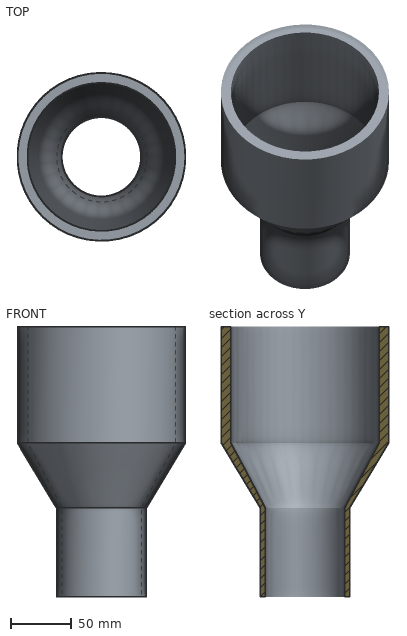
import cadquery as cq

total_height = 225.0
large_diameter = 140.0
large_wall = 8.3
large_length = 96.8
small_diameter = 75.0
small_wall = 4.5
small_length = 74.2

large_radius = large_diameter / 2
small_radius = small_diameter / 2
large_bore_radius = large_radius - large_wall
small_bore_radius = small_radius - small_wall
cone_bottom = small_length
cone_top = total_height - large_length

wall_section = (
    cq.Workplane("XZ")
    .moveTo(small_radius, 0)
    .lineTo(small_radius, cone_bottom)
    .lineTo(large_radius, cone_top)
    .lineTo(large_radius, total_height)
    .lineTo(large_bore_radius, total_height)
    .lineTo(large_bore_radius, cone_top)
    .lineTo(small_bore_radius, cone_bottom)
    .lineTo(small_bore_radius, 0)
    .close()
)

result = wall_section.revolve(360, (0, 0, 0), (0, 1, 0))